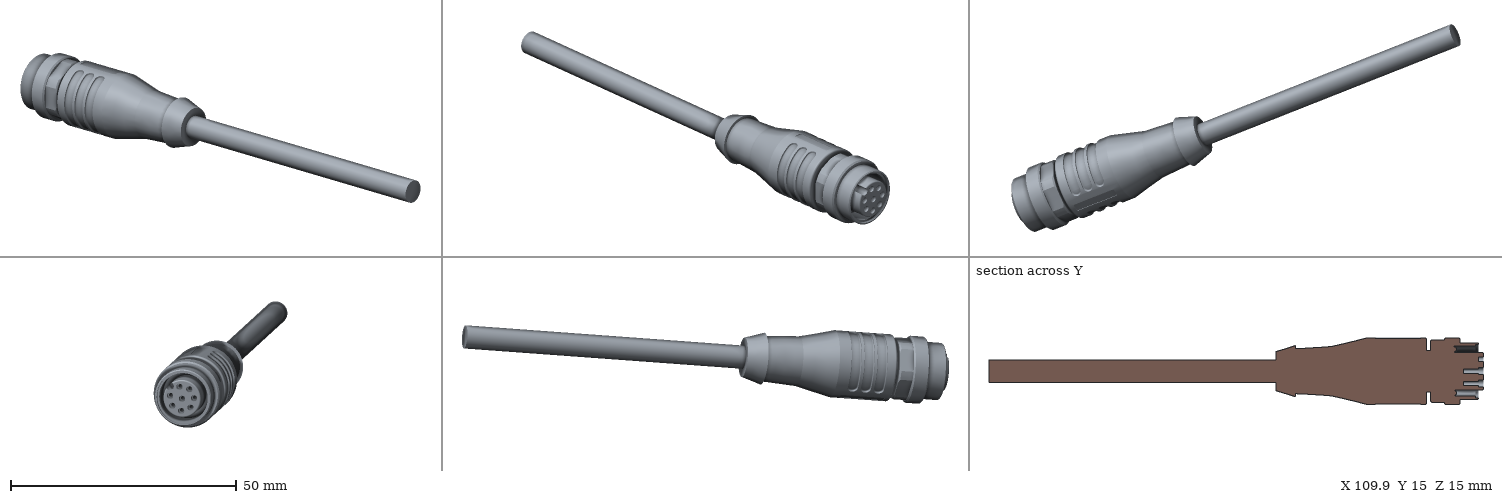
import cadquery as cq
import math

LENGTH = 109.9
BODY_DIA = 15.0

NUT_FRONT = 1.1
NUT_DIA = 12.7
NUT_EDGE = 0.2
COLLAR_START = 5.2
COLLAR_END = 8.8
COLLAR_CHAMFER = 0.3
HEX_END = 11.9
HEX_FLATS = 13.0
HEX_CORNER_DIA = 14.0
HEX_CHAMFER = 0.3
MOUTH_DIA = 11.9
MOUTH_END = 1.8
BORE_DIA = 11.0
BORE_END = 6.6

INSERT_DIA = 8.5
INSERT_EDGE = 0.3
CONTACT_DIA = 0.9
CONTACT_DEPTH = 4.4
SOCKET_DIA = 1.4
SOCKET_DEPTH = 1.1
CONTACT_CIRCLE_DIA = 5.5
OUTER_CONTACTS = 7
CONTACT_PITCH = 49.0
KEY_ANGLE = 45.0
KEY_DIA = 1.8
KEY_CENTRE_RADIUS = 3.8
KEY_DEPTH = CONTACT_DEPTH

NECK_DIA = 9.3
GRIP_START = 12.6
GRIP_END = 25.8
GRIP_EDGE = 0.4
TAPER_END = 33.7
TAPER_END_DIA = 11.1
FLANGE_START = 41.8
SLEEVE_END_DIA = 10.1
FLANGE_DIA = 11.5
FLANGE_END = 46.2
FLANGE_END_DIA = 8.8
CABLE_DIA = 5.2

GROOVE_COUNT = 3
GROOVE_PITCH = 3.0
GROOVE_MIDDLE_X = 19.0
GROOVE_WIDTH = 2.3
GROOVE_DEPTH = 0.4
GROOVE_INNER_Y = 2.6
GROOVE_EDGE = 0.2
RECESS_LENGTH = 10.1
RECESS_WIDTH = 2.0
RECESS_DEPTH = 0.16
RECESS_CORNER = 0.4


def cylinder(start, end, diameter):
    """Solid cylinder on the X axis between two X positions."""
    return cq.Workplane("YZ").workplane(offset=start).circle(diameter / 2).extrude(end - start)


def revolve_about_x(profile):
    """Full turn of a closed XY profile about the X axis."""
    return profile.close().revolve(360, (0, 0, 0), (1, 0, 0))


def make_nut():
    front = cylinder(NUT_FRONT, COLLAR_START, NUT_DIA).faces("<X").edges().chamfer(NUT_EDGE)
    collar = cylinder(COLLAR_START, COLLAR_END, BODY_DIA).edges("%CIRCLE").chamfer(COLLAR_CHAMFER)
    hex_bar = (
        cq.Workplane("YZ")
        .workplane(offset=COLLAR_END)
        .polygon(6, HEX_FLATS, circumscribed=True)
        .extrude(HEX_END - COLLAR_END)
    )
    corners = cylinder(COLLAR_END, HEX_END, HEX_CORNER_DIA).faces(">X").edges().chamfer(HEX_CHAMFER)
    nut = front.union(collar).union(hex_bar.intersect(corners))
    mouth = cylinder(NUT_FRONT, MOUTH_END, MOUTH_DIA)
    bore = cylinder(NUT_FRONT, BORE_END, BORE_DIA)
    return nut.cut(mouth).cut(bore)


def make_insert():
    insert = cylinder(0, GRIP_START, INSERT_DIA).faces("<X").edges().fillet(INSERT_EDGE)
    middle_angle = KEY_ANGLE + 180
    first_angle = middle_angle - CONTACT_PITCH * (OUTER_CONTACTS - 1) / 2
    circle_radius = CONTACT_CIRCLE_DIA / 2
    centres = [(0, 0)]
    for index in range(OUTER_CONTACTS):
        angle = math.radians(first_angle + index * CONTACT_PITCH)
        centres.append((circle_radius * math.cos(angle), circle_radius * math.sin(angle)))
    face = cq.Workplane("YZ").pushPoints(centres)
    sockets = face.circle(SOCKET_DIA / 2).extrude(SOCKET_DEPTH)
    contacts = face.circle(CONTACT_DIA / 2).extrude(CONTACT_DEPTH)
    key_angle = math.radians(KEY_ANGLE)
    key = (
        cq.Workplane("YZ")
        .center(KEY_CENTRE_RADIUS * math.cos(key_angle), KEY_CENTRE_RADIUS * math.sin(key_angle))
        .circle(KEY_DIA / 2)
        .extrude(KEY_DEPTH)
    )
    return insert.cut(sockets).cut(contacts).cut(key)


def make_seal():
    """Round sealing ring, half sunk in the floor of the nut bore."""
    ring_radius = (BORE_DIA + INSERT_DIA) / 4
    section_radius = (BORE_DIA - INSERT_DIA) / 4
    return (
        cq.Workplane("XY")
        .center(BORE_END, ring_radius)
        .circle(section_radius)
        .revolve(360, (0, -ring_radius, 0), (1, -ring_radius, 0))
    )


def make_moulding():
    outline = (
        cq.Workplane("XY")
        .moveTo(GRIP_START, 0)
        .lineTo(GRIP_START, BODY_DIA / 2)
        .lineTo(GRIP_END, BODY_DIA / 2)
        .lineTo(TAPER_END, TAPER_END_DIA / 2)
        .lineTo(FLANGE_START, SLEEVE_END_DIA / 2)
        .lineTo(FLANGE_START, FLANGE_DIA / 2)
        .lineTo(FLANGE_END, FLANGE_END_DIA / 2)
        .lineTo(FLANGE_END, 0)
    )
    moulding = revolve_about_x(outline)
    return moulding.faces("<X").edges().fillet(GRIP_EDGE)


def cut_grooves(body):
    core = cylinder(GRIP_START, GRIP_END, BODY_DIA - 2 * GROOVE_DEPTH)
    shell = cylinder(GRIP_START, GRIP_END, BODY_DIA + 2 * GROOVE_DEPTH).cut(core)
    for index in range(GROOVE_COUNT):
        x = GROOVE_MIDDLE_X + (index - (GROOVE_COUNT - 1) / 2) * GROOVE_PITCH
        for side in (-1, 1):
            slot = (
                cq.Workplane("XY")
                .center(x, side * (GROOVE_INNER_Y + BODY_DIA / 2))
                .slot2D(BODY_DIA, GROOVE_WIDTH, 90)
                .extrude(BODY_DIA, both=True)
            )
            groove = slot.intersect(shell)
            floor = groove.faces(cq.selectors.NearestToPointSelector((x, 0, 0)))
            body = body.cut(floor.edges().fillet(GROOVE_EDGE))
    return body


def cut_recesses(body):
    floor_z = BODY_DIA / 2 - RECESS_DEPTH
    recess = (
        cq.Workplane("XY")
        .workplane(offset=floor_z)
        .center(GROOVE_MIDDLE_X, 0)
        .rect(RECESS_LENGTH, RECESS_WIDTH)
        .extrude(2 * RECESS_DEPTH)
        .edges("|Z")
        .fillet(RECESS_CORNER)
    )
    return body.cut(recess).cut(recess.mirror("XY"))


moulding = cut_recesses(cut_grooves(make_moulding()))
neck = cylinder(HEX_END, GRIP_START, NECK_DIA)
cable = cylinder(FLANGE_END, LENGTH, CABLE_DIA)
result = make_nut().union(make_insert()).union(make_seal()).union(neck).union(moulding).union(cable)